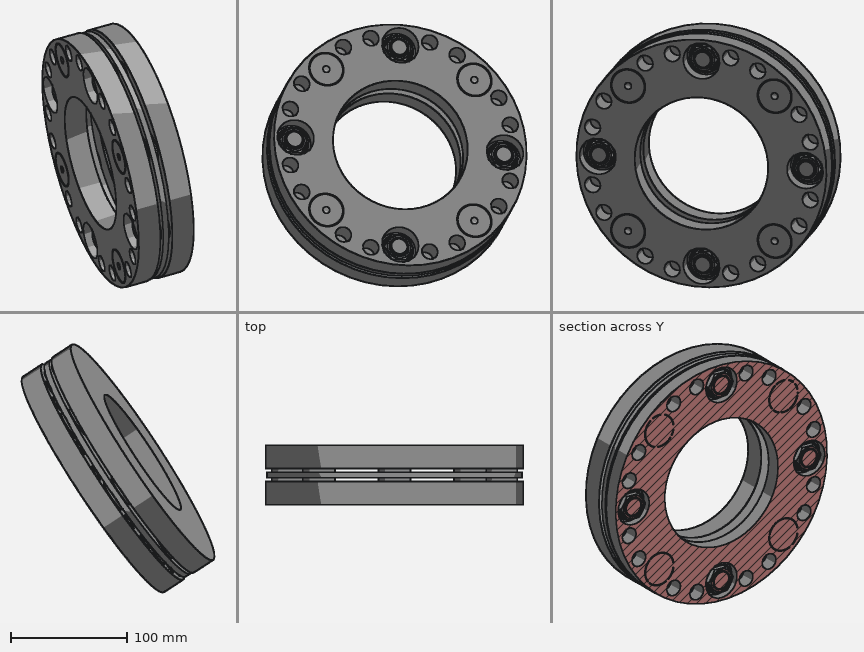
import cadquery as cq
import math

total_depth = 51.3
plate_thickness = 20.2
disc_thickness = 5.0
gap = (total_depth - 2 * plate_thickness - disc_thickness) / 2
front_y = -total_depth / 2
disc_y = front_y + plate_thickness + gap
back_y = disc_y + disc_thickness + gap

plate_diameter = 222.0
disc_diameter = 220.0
plate_bore = 118.0
disc_bore = 140.0
edge_chamfer = 0.2

bolt_circle_radius = 92.0
spacer_diameter = 28.0
spacer_angles = range(0, 360, 45)
bolt_angles = range(0, 360, 90)
plug_angles = range(45, 360, 90)

counterbore_diameter = 32.0
counterbore_depth = 13.8
washer_thickness = 2.2
washer_chamfer = 1.3
nut_width = 22.5
nut_height = 5.5
nut_chamfer_diameter = 20.9
nut_chamfer_height = 1.0
nut_countersink_diameter = 17.3
nut_countersink_depth = 0.7
stud_diameter = 16.0
stud_recess = 4.5
stud_chamfer = 1.0

plug_hole_diameter = 30.0
plug_diameter = 29.5
plug_chamfer = 0.33
dimple_diameter = 6.0
dimple_depth = 1.8

small_hole_diameter = 13.8
small_hole_radius = 100.0
small_hole_offsets = (15, 30, 60, 75)
small_hole_angles = [bolt_angle + offset for bolt_angle in bolt_angles for offset in small_hole_offsets]


def cylinder(diameter, y, length, x=0, z=0):
    """Solid cylinder that starts at y and runs towards +Y."""
    axis_start = cq.Vector(x, y, z)
    return cq.Workplane(cq.Solid.makeCylinder(diameter / 2, length, axis_start, cq.Vector(0, 1, 0)))


def cone(start_diameter, end_diameter, y, length, x, z):
    """Solid cone that starts at y and runs towards +Y."""
    axis_start = cq.Vector(x, y, z)
    axis = cq.Vector(0, 1, 0)
    return cq.Workplane(cq.Solid.makeCone(start_diameter / 2, end_diameter / 2, length, axis_start, axis))


def on_circle(radius, angles):
    """X and Z places at the given angles on a circle about the Y axis."""
    return [
        (radius * math.cos(math.radians(angle)), radius * math.sin(math.radians(angle)))
        for angle in angles
    ]


def ring(outer_diameter, bore, y, thickness):
    return cylinder(outer_diameter, y, thickness).cut(cylinder(bore, y, thickness))


def plate(y):
    """Ring with all four rims chamfered."""
    return ring(plate_diameter, plate_bore, y, plate_thickness).edges("%CIRCLE").chamfer(edge_chamfer)


def nut(y, x, z):
    """Hexagon nut with flats facing +Z and -Z, a chamfered front face and a countersunk thread."""
    corner_diameter = nut_width / math.cos(math.radians(30))
    hexagon = (
        cq.Workplane("XZ", origin=(x, y, z))
        .polygon(6, corner_diameter)
        .extrude(-nut_height)
    )
    rounded = cone(nut_chamfer_diameter, corner_diameter, y, nut_chamfer_height, x, z).union(
        cylinder(corner_diameter, y + nut_chamfer_height, nut_height - nut_chamfer_height, x, z)
    )
    countersink = cone(nut_countersink_diameter, stud_diameter, y, nut_countersink_depth, x, z)
    return hexagon.intersect(rounded).cut(countersink)


def bolt(x, z):
    """Washer, nut and chamfered stud end standing on the counterbore floor."""
    floor_y = front_y + counterbore_depth
    washer_y = floor_y - washer_thickness
    stud_y = front_y + stud_recess
    stud = cylinder(stud_diameter, stud_y, counterbore_depth - stud_recess, x, z)
    stud = stud.faces("<Y").chamfer(stud_chamfer)
    washer = cylinder(spacer_diameter, washer_y, washer_thickness, x, z)
    washer = washer.faces("<Y").chamfer(washer_chamfer)
    return washer.union(nut(washer_y - nut_height, x, z)).union(stud)


def plug(x, z):
    """Chamfered plug with a conical centre dimple."""
    body = cylinder(plug_diameter, front_y, plate_thickness, x, z).faces("<Y").chamfer(plug_chamfer)
    return body.cut(cone(dimple_diameter, 0, front_y, dimple_depth, x, z))


def plug_hole(x, z):
    """Through hole with a chamfered front rim."""
    rim_diameter = plug_hole_diameter + 2 * plug_chamfer
    rim = cone(rim_diameter, plug_hole_diameter, front_y, plug_chamfer, x, z)
    return cylinder(plug_hole_diameter, front_y, plate_thickness, x, z).union(rim)


front_plate = plate(front_y)
for x, z in on_circle(small_hole_radius, small_hole_angles):
    front_plate = front_plate.cut(cylinder(small_hole_diameter, front_y, plate_thickness, x, z))
for x, z in on_circle(bolt_circle_radius, bolt_angles):
    front_plate = front_plate.cut(cylinder(counterbore_diameter, front_y, counterbore_depth, x, z))
for x, z in on_circle(bolt_circle_radius, plug_angles):
    front_plate = front_plate.cut(plug_hole(x, z))

result = front_plate.union(ring(disc_diameter, disc_bore, disc_y, disc_thickness))
result = result.union(plate(back_y))

spacer_y = front_y + plate_thickness
spacer_length = back_y - spacer_y
for x, z in on_circle(bolt_circle_radius, spacer_angles):
    result = result.union(cylinder(spacer_diameter, spacer_y, spacer_length, x, z))

for x, z in on_circle(bolt_circle_radius, bolt_angles):
    result = result.union(bolt(x, z))

for x, z in on_circle(bolt_circle_radius, plug_angles):
    result = result.union(plug(x, z))